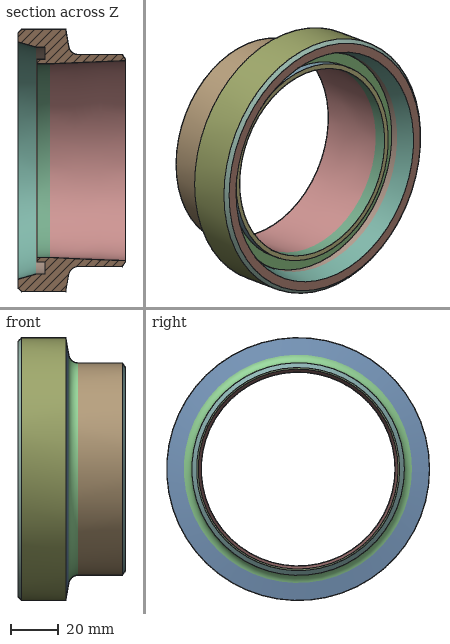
import cadquery as cq
import math

length = 45.0
flange_radius = 55.0
flange_chamfer = 1.5
flange_rim_end = 20.0

spigot_radius = 88.9 / 2
bevel_length = 1.3
bevel_height = 2.0
fillet_radius = 4.0
flange_back_angle = math.radians(10)

socket_mouth_radius = 49.6
socket_radius = 94.8 / 2
socket_taper_depth = 7.7
groove_floor = 11.2
lip_radius = 85.0 / 2
lip_height = 3.3

throat_radius = 81.0 / 2
throat_length = 5.5
bore_end_radius = 41.8

lip_face = groove_floor - lip_height
throat_end = lip_face + throat_length

tangent_radius = spigot_radius + fillet_radius * (1 - math.sin(flange_back_angle))
tangent_x = flange_rim_end + (flange_radius - tangent_radius) * math.tan(flange_back_angle)
fillet_center_x = tangent_x + fillet_radius * math.cos(flange_back_angle)
fillet_center_radius = spigot_radius + fillet_radius
mid_angle = (math.pi / 2 + flange_back_angle) / 2
fillet_mid = (
    fillet_center_x - fillet_radius * math.cos(mid_angle),
    fillet_center_radius - fillet_radius * math.sin(mid_angle),
)

section = (
    cq.Workplane("XY")
    .moveTo(0, socket_mouth_radius)
    .lineTo(0, flange_radius - flange_chamfer)
    .lineTo(flange_chamfer, flange_radius)
    .lineTo(flange_rim_end, flange_radius)
    .lineTo(tangent_x, tangent_radius)
    .threePointArc(fillet_mid, (fillet_center_x, spigot_radius))
    .lineTo(length - bevel_length, spigot_radius)
    .lineTo(length, spigot_radius - bevel_height)
    .lineTo(length, bore_end_radius)
    .lineTo(throat_end, throat_radius)
    .lineTo(lip_face, throat_radius)
    .lineTo(lip_face, lip_radius)
    .lineTo(groove_floor, lip_radius)
    .lineTo(groove_floor, socket_radius)
    .lineTo(socket_taper_depth, socket_radius)
    .close()
)

result = section.revolve(360, (0, 0, 0), (1, 0, 0))